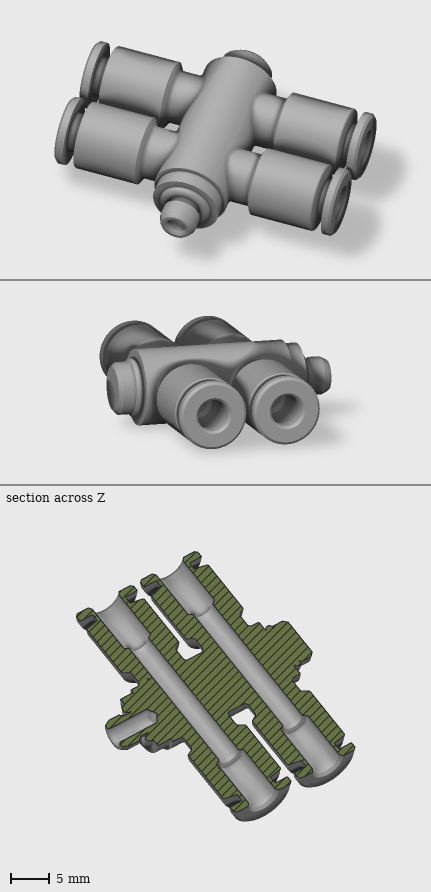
import cadquery as cq
import math

BODY_DIAMETER = 10.0
BODY_LENGTH = 20.0
BODY_END = BODY_LENGTH / 2
PORT_PITCH = 10.0

OVERALL_WIDTH = 38.2
PORT_END = OVERALL_WIDTH / 2
PORT_DIAMETER = 9.0
BRANCH_DIAMETER = 7.0
BRANCH_FILLET = 0.5
SHOULDER_START = 7.3
SHOULDER_ANGLE = 60.0
SHOULDER_FILLET = 0.43
SLEEVE_EDGE = 16.25
SLEEVE_CHAMFER_LENGTH = 0.15
SLEEVE_CHAMFER_HEIGHT = 0.1
SLEEVE_FACE = 16.75
RELEASE_RING_THICKNESS = 1.25
RELEASE_RING_CHAMFER = 0.35
RELEASE_NECK_DIAMETER = 5.2
RELEASE_NECK_ROOT_DIAMETER = 5.35
RELEASE_NECK_ROOT_LENGTH = 0.2

TUBE_BORE_DIAMETER = 4.15
TUBE_BORE_DEPTH = 8.0
TUBE_BORE_MOUTH_DIAMETER = 4.8
TUBE_BORE_MOUTH_LENGTH = 0.45
FLOW_BORE_DIAMETER = 3.0

DRILL_POINT_ANGLE = 118.0

STUD_END = 16.0
COLLAR_DIAMETER = 9.0
COLLAR_END = 11.95
RELIEF_DIAMETER = 8.8
RELIEF_WIDTH = 0.15
SEAL_DIAMETER = 6.9
SEAL_SECTION_DIAMETER = 1.4
SEAL_CENTRE = 12.0
STUD_DIAMETER = 5.0
STUD_NECK_DIAMETER = 4.0
STUD_LEAD_START = 13.0
STUD_TIP_START = 15.0
STUD_TIP_DIAMETER = 3.9
STUD_TIP_BULGE = 0.06
STUD_BORE_DIAMETER = 2.5
STUD_BORE_MOUTH_DIAMETER = 3.0
STUD_BORE_DEPTH = 6.0

PLUG_DIAMETER = 6.9
PLUG_END = 13.2
PLUG_CHAMFER = 0.55
RING_DIAMETER = 7.7
RING_WIRE_DIAMETER = 0.9
RING_CENTRE = 10.58
RING_GAP = 0.6
RING_GROOVE_DIAMETER = 6.3
RING_GROOVE_START = 10.8
RING_GROOVE_END = 11.03


def cylinder_along_y(diameter, start, end):
    """Cylinder about the Y axis between two Y stations."""
    return cq.Workplane("XZ", origin=(0, start, 0)).circle(diameter / 2).extrude(start - end)


def make_torus(path_radius, section_radius, y):
    """Ring of circular section about the Y axis, centred at a Y station."""
    inward_plane = cq.Plane(origin=(path_radius, y, 0), xDir=(-1, 0, 0), normal=(0, 0, 1))
    section = cq.Workplane(inward_plane).circle(section_radius)
    return section.revolve(360, (path_radius, 0, 0), (path_radius, 1, 0))


def make_port():
    """One port on the +X side, on the X axis, running in to the body axis."""
    port_radius = PORT_DIAMETER / 2
    branch_radius = BRANCH_DIAMETER / 2
    neck_radius = RELEASE_NECK_DIAMETER / 2
    shoulder_length = (port_radius - branch_radius) / math.tan(math.radians(SHOULDER_ANGLE))
    ring_back = PORT_END - RELEASE_RING_THICKNESS
    profile = [
        (0, 0),
        (0, branch_radius),
        (SHOULDER_START, branch_radius),
        (SHOULDER_START + shoulder_length, port_radius),
        (SLEEVE_EDGE, port_radius),
        (SLEEVE_EDGE + SLEEVE_CHAMFER_LENGTH, port_radius - SLEEVE_CHAMFER_HEIGHT),
        (SLEEVE_FACE, neck_radius),
        (ring_back - RELEASE_NECK_ROOT_LENGTH, neck_radius),
        (ring_back, RELEASE_NECK_ROOT_DIAMETER / 2),
        (ring_back, port_radius),
        (PORT_END - RELEASE_RING_CHAMFER, port_radius),
        (PORT_END, port_radius - RELEASE_RING_CHAMFER),
        (PORT_END, 0),
    ]
    port = cq.Workplane("XY").polyline(profile).close().revolve(360, (0, 0, 0), (1, 0, 0))
    shoulder_root = cq.selectors.BoxSelector(
        (SHOULDER_START - shoulder_length / 2, -PORT_DIAMETER, -PORT_DIAMETER),
        (SHOULDER_START + shoulder_length / 2, PORT_DIAMETER, PORT_DIAMETER),
    )
    return port.edges("%CIRCLE").edges(shoulder_root).fillet(SHOULDER_FILLET)


def make_port_bore():
    """Tube socket with a chamfered mouth and a conical step down to the flow bore."""
    tube_radius = TUBE_BORE_DIAMETER / 2
    flow_radius = FLOW_BORE_DIAMETER / 2
    socket_end = PORT_END - TUBE_BORE_DEPTH
    cone_length = (tube_radius - flow_radius) / math.tan(math.radians(DRILL_POINT_ANGLE / 2))
    profile = [
        (0, 0),
        (0, flow_radius),
        (socket_end - cone_length, flow_radius),
        (socket_end, tube_radius),
        (PORT_END - TUBE_BORE_MOUTH_LENGTH, tube_radius),
        (PORT_END, TUBE_BORE_MOUTH_DIAMETER / 2),
        (PORT_END, 0),
    ]
    return cq.Workplane("XY").polyline(profile).close().revolve(360, (0, 0, 0), (1, 0, 0))


def at_every_port(shape):
    """Copies of a +X shape at both port stations on both sides of the body."""
    copies = []
    for y in (-PORT_PITCH / 2, PORT_PITCH / 2):
        for turn in (0, 180):
            copies.append(shape.rotate((0, 0, 0), (0, 0, 1), turn).translate((0, y, 0)))
    return copies


def make_manifold():
    """Body with four ports, the branch roots filleted."""
    manifold = cylinder_along_y(BODY_DIAMETER, -BODY_END, BODY_END)
    for port in at_every_port(make_port()):
        manifold = manifold.union(port)
    half_body = BODY_DIAMETER / 2
    root_zone = cq.selectors.BoxSelector(
        (-half_body, -BODY_END + BRANCH_FILLET, -half_body),
        (half_body, BODY_END - BRANCH_FILLET, half_body),
    )
    return manifold.edges("not(%CIRCLE or %LINE)").edges(root_zone).fillet(BRANCH_FILLET)


def make_stud():
    """Collar and stud revolved about the Y axis, with a sealing ring against the collar."""
    stud_radius = STUD_DIAMETER / 2
    stud_neck_radius = STUD_NECK_DIAMETER / 2
    tip_radius = STUD_TIP_DIAMETER / 2
    lead_end = STUD_LEAD_START + stud_radius - stud_neck_radius
    section_radius = SEAL_SECTION_DIAMETER / 2
    seal_centre_radius = SEAL_DIAMETER / 2 - section_radius
    tip_mid = (
        (stud_radius + tip_radius) / 2 + STUD_TIP_BULGE,
        -(STUD_TIP_START + STUD_END) / 2,
    )
    stud = (
        cq.Workplane("XY")
        .moveTo(0, -BODY_END)
        .lineTo(RELIEF_DIAMETER / 2, -BODY_END)
        .lineTo(RELIEF_DIAMETER / 2, -BODY_END - RELIEF_WIDTH)
        .lineTo(COLLAR_DIAMETER / 2, -BODY_END - RELIEF_WIDTH)
        .lineTo(COLLAR_DIAMETER / 2, -COLLAR_END)
        .lineTo(stud_neck_radius, -COLLAR_END)
        .lineTo(stud_neck_radius, -STUD_LEAD_START)
        .lineTo(stud_radius, -lead_end)
        .lineTo(stud_radius, -STUD_TIP_START)
        .threePointArc(tip_mid, (tip_radius, -STUD_END))
        .lineTo(0, -STUD_END)
        .close()
        .revolve(360, (0, 0, 0), (0, 1, 0))
    )
    return stud.union(make_torus(seal_centre_radius, section_radius, -SEAL_CENTRE))


def make_stud_bore():
    """Blind bore with a chamfered mouth and a conical bottom."""
    bore_radius = STUD_BORE_DIAMETER / 2
    mouth_radius = STUD_BORE_MOUTH_DIAMETER / 2
    bottom = -STUD_END + STUD_BORE_DEPTH
    cone_length = bore_radius / math.tan(math.radians(DRILL_POINT_ANGLE / 2))
    profile = [
        (0, -STUD_END),
        (mouth_radius, -STUD_END),
        (bore_radius, -STUD_END + mouth_radius - bore_radius),
        (bore_radius, bottom),
        (0, bottom + cone_length),
    ]
    return cq.Workplane("XY").polyline(profile).close().revolve(360, (0, 0, 0), (0, 1, 0))


def make_plug():
    """Grooved plug carrying a retaining ring that is split at the top."""
    plug = cylinder_along_y(PLUG_DIAMETER, BODY_END, PLUG_END).faces(">Y").chamfer(PLUG_CHAMFER)
    groove = cylinder_along_y(PLUG_DIAMETER, RING_GROOVE_START, RING_GROOVE_END)
    groove = groove.cut(cylinder_along_y(RING_GROOVE_DIAMETER, RING_GROOVE_START, RING_GROOVE_END))
    ring_path_radius = (RING_DIAMETER - RING_WIRE_DIAMETER) / 2
    ring = make_torus(ring_path_radius, RING_WIRE_DIAMETER / 2, RING_CENTRE)
    split = cq.Workplane("XY", origin=(0, RING_CENTRE, 0)).rect(RING_GAP, RING_WIRE_DIAMETER)
    return plug.cut(groove).union(ring.cut(split.extrude(RING_DIAMETER)))


result = make_manifold().union(make_stud()).union(make_plug())
for port_bore in at_every_port(make_port_bore()):
    result = result.cut(port_bore)
result = result.cut(make_stud_bore())